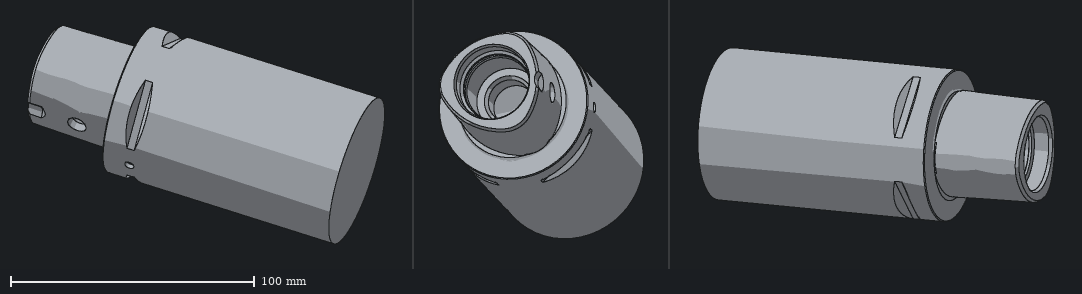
import cadquery as cq
import math

TOTAL_LENGTH = 138
BODY_RADIUS = 63.0 / 2
BODY_START = 38.0
BODY_CHAMFER = 0.4

LOBE_OFFSET = 10.8
LOBE_RADIUS_BASE = 12.7
LOBE_RADIUS_TIP = 11.9
TIP_CHAMFER = 1.2
TIP_CHAMFER_DEPTH = 1.0
TAPER_END = 35.7
NECK_START = 36.5
COLLAR_START = 37.1
COLLAR_RADIUS = 22.6
COLLAR_FLARE_RADIUS = 24.2

MOUTH_RADIUS = 32.0 / 2
ENTRY_RADIUS = 15.3
ENTRY_START = 1.4
ENTRY_END = 7.7
LAND_RADIUS = 28.0 / 2
LAND_START = 8.4
LAND_END = 9.7
GROOVE_RADIUS = 14.6
GROOVE_END = 11.6
LEAD_IN_END = 12.7
BORE_RADIUS = 13.5
BORE_FLOOR = 30.4
PILOT_MOUTH_RADIUS = 10.4
PILOT_RADIUS = 18 / 2
PILOT_END = 41.4
DRILL_HALF_ANGLE = math.radians(59)

SHANK_HOLE_DIAMETER = 8.1
SHANK_HOLE_X = 22.4
SHANK_HOLE_DEPTH = 3.6
BODY_HOLE_DIAMETER = 4.0
BODY_HOLE_X = 50.0
BODY_HOLE_DEPTH = 2.1
NOTCH_RADIUS = 5.1
NOTCH_BOTTOM_Y = -18.0
NOTCH_LENGTH = 6.3

SLOT_X = 50.0
SLOT_FLOOR_WIDTH = 3.2
SLOT_FLOOR_RADIUS = 27.9
SLOT_MOUTH_WIDTH = 7.6
SLOT_COUNT = 4
SLOT_FIRST_ANGLE = 45


def drill_tip(radius):
    """Length of the cone left by a drill of the given radius."""
    return radius / math.tan(DRILL_HALF_ANGLE)


def polar(centre, radius, angle):
    """Point at an angle in degrees, measured about a centre."""
    turn = math.radians(angle)
    return (centre[0] + radius * math.cos(turn), centre[1] + radius * math.sin(turn))


def lobed_wire(x, lobe_radius):
    """Rounded triangle at X = x, with one lobe pointing to +Y."""
    flank_radius = lobe_radius + LOBE_OFFSET * math.sqrt(3)
    outline = cq.Workplane("YZ", origin=(x, 0, 0))
    outline = outline.moveTo(*polar((LOBE_OFFSET, 0), lobe_radius, -30))
    for angle in (0, 120, 240):
        lobe_centre = polar((0, 0), LOBE_OFFSET, angle)
        flank_centre = polar((0, 0), LOBE_OFFSET, angle + 240)
        outline = outline.threePointArc(
            polar(lobe_centre, lobe_radius, angle),
            polar(lobe_centre, lobe_radius, angle + 30),
        )
        outline = outline.threePointArc(
            polar(flank_centre, flank_radius, angle + 60),
            polar(flank_centre, flank_radius, angle + 90),
        )
    return outline.close().val()


def lobed_frustum(x_start, radius_start, x_end, radius_end):
    wires = [lobed_wire(x_start, radius_start), lobed_wire(x_end, radius_end)]
    return cq.Workplane(cq.Solid.makeLoft(wires, True))


def revolved(profile):
    """Turn an (x, radius) outline about the X axis."""
    return cq.Workplane("XY").polyline(profile).close().revolve(360, (0, 0, 0), (1, 0, 0))


def make_shank():
    tip = lobed_frustum(0, LOBE_RADIUS_TIP - TIP_CHAMFER_DEPTH, TIP_CHAMFER, LOBE_RADIUS_TIP)
    taper = lobed_frustum(TIP_CHAMFER, LOBE_RADIUS_TIP, TAPER_END, LOBE_RADIUS_BASE)
    band = lobed_frustum(TAPER_END, LOBE_RADIUS_BASE, NECK_START, LOBE_RADIUS_BASE)
    neck = lobed_frustum(NECK_START, LOBE_RADIUS_BASE, BODY_START, LOBE_RADIUS_BASE)
    neck_limit = cq.Workplane("YZ").circle(COLLAR_RADIUS).extrude(BODY_START)
    return tip.union(taper).union(band).union(neck.intersect(neck_limit))


def make_body():
    """Turned body, its collar flaring into the face along a concave arc."""
    flare_length = BODY_START - COLLAR_START
    flare_height = COLLAR_FLARE_RADIUS - COLLAR_RADIUS
    flare_arc = (flare_length**2 + flare_height**2) / (2 * flare_length)
    return (
        cq.Workplane("XY")
        .moveTo(COLLAR_START, 0)
        .lineTo(COLLAR_START, COLLAR_RADIUS)
        .radiusArc((BODY_START, COLLAR_FLARE_RADIUS), -flare_arc)
        .lineTo(BODY_START, BODY_RADIUS - BODY_CHAMFER)
        .lineTo(BODY_START + BODY_CHAMFER, BODY_RADIUS)
        .lineTo(TOTAL_LENGTH, BODY_RADIUS)
        .lineTo(TOTAL_LENGTH, 0)
        .close()
        .revolve(360, (0, 0, 0), (1, 0, 0))
    )


def bore_cutter():
    pilot_chamfer = PILOT_MOUTH_RADIUS - PILOT_RADIUS
    return revolved([
        (0, 0),
        (0, MOUTH_RADIUS),
        (ENTRY_START, ENTRY_RADIUS),
        (ENTRY_END, ENTRY_RADIUS),
        (LAND_START, LAND_RADIUS),
        (LAND_END, LAND_RADIUS),
        (LAND_END, GROOVE_RADIUS),
        (GROOVE_END, GROOVE_RADIUS),
        (GROOVE_END, LAND_RADIUS),
        (LEAD_IN_END, BORE_RADIUS),
        (BORE_FLOOR, BORE_RADIUS),
        (BORE_FLOOR, PILOT_MOUTH_RADIUS),
        (BORE_FLOOR + pilot_chamfer, PILOT_RADIUS),
        (PILOT_END, PILOT_RADIUS),
        (PILOT_END + drill_tip(PILOT_RADIUS), 0),
    ])


def radial_drill(x, diameter, surface_radius, depth):
    """Blind hole with a drilled tip, entering from -Y."""
    radius = diameter / 2
    shoulder_y = depth - surface_radius
    return (
        cq.Workplane("XY")
        .polyline([
            (x, -BODY_RADIUS),
            (x + radius, -BODY_RADIUS),
            (x + radius, shoulder_y),
            (x, shoulder_y + drill_tip(radius)),
        ])
        .close()
        .revolve(360, (x, 0, 0), (x, 1, 0))
    )


def notch_cutter():
    """Round-bottomed keyway with a 45 degree conical end."""
    notch = revolved([
        (0, 0),
        (0, NOTCH_RADIUS),
        (NOTCH_LENGTH, NOTCH_RADIUS),
        (NOTCH_LENGTH + NOTCH_RADIUS, 0),
    ])
    return notch.translate((0, NOTCH_BOTTOM_Y - NOTCH_RADIUS, 0))


def slot_cutter(angle):
    """Trapezoidal groove with a flat floor, cut along a chord of the body."""
    return (
        cq.Workplane("XZ")
        .polyline([
            (SLOT_X - SLOT_FLOOR_WIDTH / 2, SLOT_FLOOR_RADIUS),
            (SLOT_X + SLOT_FLOOR_WIDTH / 2, SLOT_FLOOR_RADIUS),
            (SLOT_X + SLOT_MOUTH_WIDTH / 2, BODY_RADIUS),
            (SLOT_X - SLOT_MOUTH_WIDTH / 2, BODY_RADIUS),
        ])
        .close()
        .extrude(BODY_RADIUS, both=True)
        .rotate((0, 0, 0), (1, 0, 0), angle)
    )


flat_radius = LOBE_RADIUS_TIP + LOBE_OFFSET * (math.sqrt(3) - 1)

result = make_shank().union(make_body())
result = result.cut(bore_cutter())
result = result.cut(radial_drill(SHANK_HOLE_X, SHANK_HOLE_DIAMETER, flat_radius, SHANK_HOLE_DEPTH))
result = result.cut(radial_drill(BODY_HOLE_X, BODY_HOLE_DIAMETER, BODY_RADIUS, BODY_HOLE_DEPTH))
result = result.cut(notch_cutter())
for index in range(SLOT_COUNT):
    result = result.cut(slot_cutter(SLOT_FIRST_ANGLE + index * 360 / SLOT_COUNT))